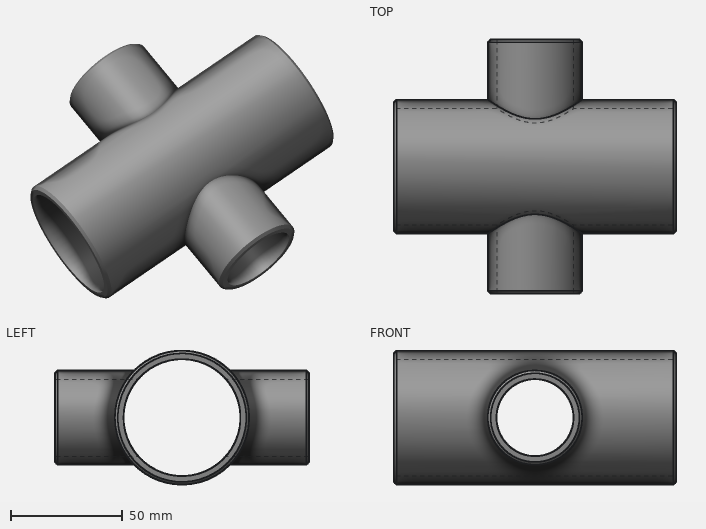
import cadquery as cq

run_length = 127.0
run_outer_diameter = 60.3
run_bore_diameter = 52.5

branch_span = 114.3
branch_outer_diameter = 42.4
branch_bore_diameter = 34.5

bevel = 1.3


def bevelled_rod(plane, diameter, length):
    """Solid rod centred on the origin with both end edges bevelled."""
    rod = cq.Workplane(plane).circle(diameter / 2).extrude(length / 2, both=True)
    return rod.faces("%PLANE").edges().chamfer(bevel)


def through_bore(plane, diameter, length):
    """Cylinder centred on the origin, used to hollow a pipe."""
    return cq.Workplane(plane).circle(diameter / 2).extrude(length / 2, both=True)


outer = bevelled_rod("YZ", run_outer_diameter, run_length).union(
    bevelled_rod("XZ", branch_outer_diameter, branch_span)
)

result = outer.cut(through_bore("YZ", run_bore_diameter, run_length)).cut(
    through_bore("XZ", branch_bore_diameter, branch_span)
)